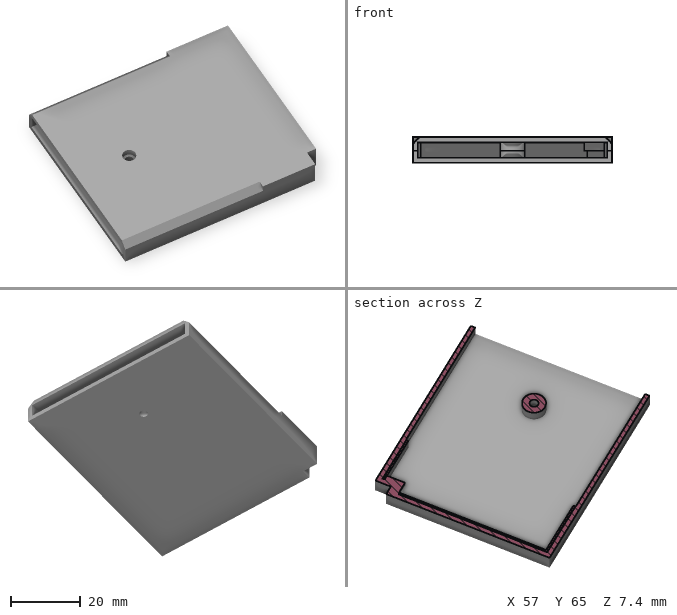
import cadquery as cq

WIDTH = 57.0
LENGTH = 65.0
HEIGHT = 7.4

WALL = 1.5
SPLIT_Z = 3.4
CEILING_Z = HEIGHT - WALL

NOTCH_X = 4.9
NOTCH_Y = 3.0

BEVEL = 2.0
BEVEL_LENGTH = 45.0

RIM_THICKNESS = 0.8
RIM_CLEARANCE = 0.25
RIM_START_Y = BEVEL_LENGTH
RIM_INSET = WALL + RIM_THICKNESS
RIM_TOP_Z = CEILING_Z - RIM_CLEARANCE

BLOCK_MARGIN = 3.2
BLOCK_LEFT_X = WIDTH / 2 - NOTCH_X - BLOCK_MARGIN
BLOCK_FRONT_Y = LENGTH - NOTCH_Y - BLOCK_MARGIN

POST_Y = 17.0
POST_DIAMETER = 7.0
SCREW_DIAMETER = 2.5
HEAD_DIAMETER = 4.0
HEAD_DEPTH = 2.0


def box(x_min, x_max, y_min, y_max, z_min, z_max):
    """Box between the given limits."""
    size = (x_max - x_min, y_max - y_min, z_max - z_min)
    return cq.Workplane("XY").box(*size, centered=False).translate((x_min, y_min, z_min))


def notched_plate(inset, front_y, z_min, z_max):
    """Plate with the notched outline, set in from the sides, the rear and the notch."""
    side = WIDTH / 2 - inset
    rear = LENGTH - inset
    notch_side = WIDTH / 2 - NOTCH_X - inset
    notch_front = LENGTH - NOTCH_Y - inset
    outline = [
        (-side, front_y),
        (side, front_y),
        (side, notch_front),
        (notch_side, notch_front),
        (notch_side, rear),
        (-side, rear),
    ]
    return cq.Workplane("XY").workplane(offset=z_min).polyline(outline).close().extrude(z_max - z_min)


def post_cylinder(diameter, z_min, z_max):
    """Cylinder on the axis of the screw post."""
    return (
        cq.Workplane("XY")
        .workplane(offset=z_min)
        .center(0, POST_Y)
        .circle(diameter / 2)
        .extrude(z_max - z_min)
    )


def corner_block():
    """Block that fills the lid's cavity around the notch, between the rim's inner side and the notch."""
    block = box(BLOCK_LEFT_X, WIDTH / 2 - RIM_INSET, BLOCK_FRONT_Y, LENGTH, SPLIT_Z, CEILING_Z)
    return block.intersect(notched_plate(0, 0, SPLIT_Z, CEILING_Z))


def rim():
    """Rim along the sides and rear, standing on the floor and ending just below the lid's ceiling."""
    outer = notched_plate(WALL, RIM_START_Y, WALL, RIM_TOP_Z)
    return outer.cut(notched_plate(RIM_INSET, RIM_START_Y, WALL, RIM_TOP_Z)).cut(corner_block())


def bevel_cutter(side):
    """Triangular prism that bevels the upper edge on the side given by its sign."""
    edge_x = side * WIDTH / 2
    triangle = [
        (edge_x, HEIGHT),
        (edge_x - side * BEVEL, HEIGHT),
        (edge_x, HEIGHT - BEVEL),
    ]
    return cq.Workplane("XZ").polyline(triangle).close().extrude(-BEVEL_LENGTH)


def make_base():
    """Lower half: floor, low walls, inner rim and the lower part of the screw post."""
    shell = notched_plate(0, 0, 0, SPLIT_Z).cut(notched_plate(WALL, 0, WALL, SPLIT_Z))
    body = shell.union(rim()).union(post_cylinder(POST_DIAMETER, WALL, SPLIT_Z))
    return body.cut(post_cylinder(SCREW_DIAMETER, 0, SPLIT_Z))


def make_lid():
    """Upper half: top plate, walls, corner block and the counterbored part of the screw post."""
    shell = notched_plate(0, 0, SPLIT_Z, HEIGHT).cut(notched_plate(WALL, 0, SPLIT_Z, CEILING_Z))
    body = shell.union(corner_block()).union(post_cylinder(POST_DIAMETER, SPLIT_Z, CEILING_Z))
    for side in (-1, 1):
        body = body.cut(bevel_cutter(side))
    body = body.cut(post_cylinder(SCREW_DIAMETER, SPLIT_Z, HEIGHT))
    return body.cut(post_cylinder(HEAD_DIAMETER, HEIGHT - HEAD_DEPTH, HEIGHT))


base = make_base()
lid = make_lid()

result = cq.Compound.makeCompound([base.solids().val(), lid.solids().val()])